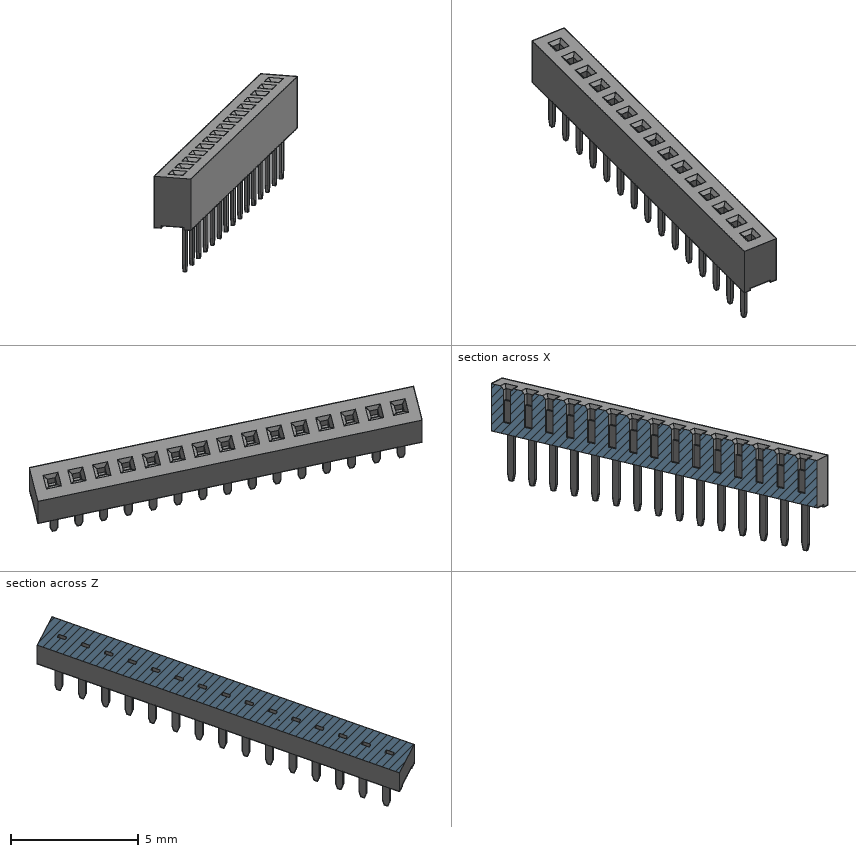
import cadquery as cq

pin_count = 15
pitch = 1.0
end_margin = 0.75
housing_width = 1.5
housing_length = (pin_count - 1) * pitch + 2 * end_margin
overall_height = 4.0
housing_height = 2.1
standoff_width = 0.28
standoff_height = 0.1

funnel_top = 0.6
funnel_bottom = 0.32
funnel_depth = 0.14
socket_depth = 1.5
contact_thickness = 0.1
contact_recess = 0.6

pin_thickness = 0.12
pin_width = 0.3
pin_offset = 0.3
tip_width = 0.15
tip_height = 0.3

channel_floor = standoff_height - housing_height
pin_bottom = -overall_height
pin_positions = [(i - (pin_count - 1) / 2) * pitch for i in range(pin_count)]


def make_housing():
    """Rectangular bar with a channel underneath that leaves two standoff rails."""
    base = cq.Workplane("XY").workplane(offset=-housing_height)
    bar = base.rect(housing_width, housing_length).extrude(housing_height)
    channel = base.rect(housing_width - 2 * standoff_width, housing_length).extrude(standoff_height)
    return bar.cut(channel)


def make_socket_cavity():
    """Square lead-in funnel above a square well."""
    funnel = (
        cq.Workplane("XY")
        .rect(funnel_top, funnel_top)
        .workplane(offset=-funnel_depth)
        .rect(funnel_bottom, funnel_bottom)
        .loft(ruled=True)
    )
    well = cq.Workplane("XY").rect(funnel_bottom, funnel_bottom).extrude(-socket_depth)
    return funnel.union(well)


def make_contacts():
    """Two contact leaves standing on the well floor, against its -X and +X walls."""
    leaf_offset = (funnel_bottom - contact_thickness) / 2
    return (
        cq.Workplane("XY")
        .workplane(offset=-socket_depth)
        .pushPoints([(-leaf_offset, 0), (leaf_offset, 0)])
        .rect(contact_thickness, funnel_bottom)
        .extrude(socket_depth - contact_recess)
    )


def make_pin():
    """Flat solder pin with a tapered tip, running down from the channel floor."""
    shoulder = pin_bottom + tip_height
    return (
        cq.Workplane("YZ")
        .polyline([
            (-pin_width / 2, channel_floor),
            (-pin_width / 2, shoulder),
            (-tip_width / 2, pin_bottom),
            (tip_width / 2, pin_bottom),
            (pin_width / 2, shoulder),
            (pin_width / 2, channel_floor),
        ])
        .close()
        .extrude(pin_thickness / 2, both=True)
        .translate((pin_offset, 0, 0))
    )


socket = make_socket_cavity().cut(make_contacts())
pin = make_pin()

result = make_housing()
for y in pin_positions:
    result = result.cut(socket.translate((0, y, 0)))
    result = result.union(pin.translate((0, y, 0)))